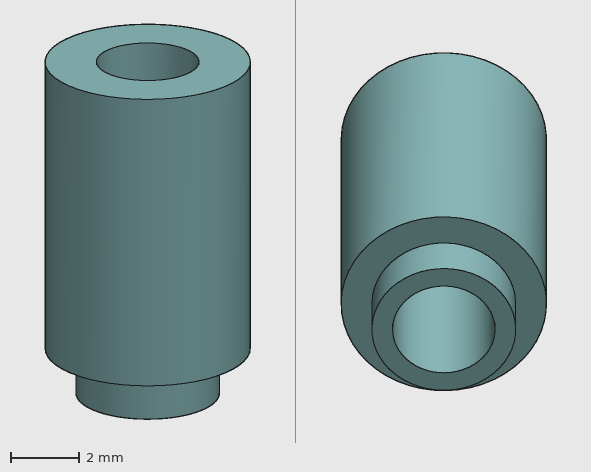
import cadquery as cq

total_length = 10.4
spigot_length = 1.4
body_diameter = 6.0
spigot_diameter = 4.2
bore_diameter = 3.0

body_length = total_length - spigot_length

spigot = cq.Workplane("XY").circle(spigot_diameter / 2).extrude(spigot_length)

body = (
    cq.Workplane("XY")
    .workplane(offset=spigot_length)
    .circle(body_diameter / 2)
    .extrude(body_length)
)

bore = cq.Workplane("XY").circle(bore_diameter / 2).extrude(total_length)

result = spigot.union(body).cut(bore)